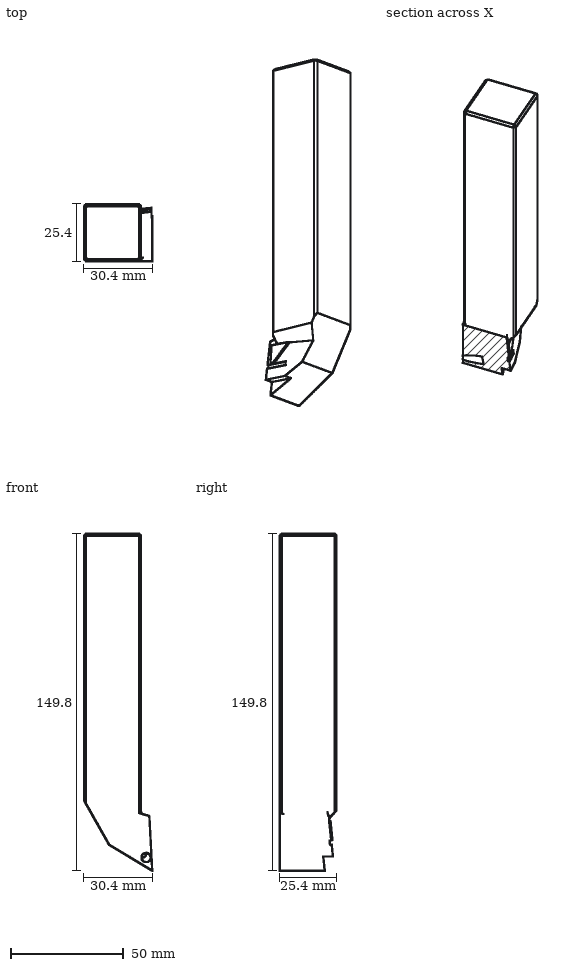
import cadquery as cq
import math

shank_size = 25.4
tool_length = 149.79
edge_chamfer = 1.0

tip_x = 30.38
flank_corner_x = 11.2
flank_corner_z = 11.5
flank_top_z = 31.3
flank_slope = (flank_top_z - flank_corner_z) / flank_corner_x
side_draft = math.radians(3)
shoulder_z = 25.4
shoulder_slope = math.radians(15)
shoulder_round = 1.0
shoulder_root_round = 1.0

face_base = 21.4
face_rise_x = 0.10
face_fall_z = 0.10

runout_top_z = 27.0
runout_angle = math.radians(48.5)

seat_depth = 4.3
seat_height = 6.3

groove_start_x = 20.0
groove_bottom_z = 11.6
groove_width = 1.8
groove_depth = 0.75

hole_diameter = 4.0
hole_x = 27.6
hole_z = 5.9
hole_tilt = math.radians(15)
hole_depth = 10.0

clamp_top_left_x = 18.6
clamp_right_x = 27.5
clamp_nose_width = 1.5
clamp_nose_z = 13.7
clamp_top_z = 22.2
clamp_thickness = 0.75

overcut = 20.0


def space_above_face(drop):
    """Space on the +Y side of the sunken face, with the face lowered by `drop` along Y."""
    normal = cq.Vector(-face_rise_x, 1, face_fall_z)
    origin = cq.Vector(0, face_base - drop, 0)
    plane = cq.Plane(origin, xDir=(1, face_rise_x, 0), normal=normal)
    return cq.Workplane(plane).rect(2 * tool_length, 2 * tool_length).extrude(overcut)


def slab_in_z(bottom, top, start_x=-overcut):
    """Block between two heights, from start_x to past the side of the head."""
    size_x = tip_x + overcut - start_x
    size_y = shank_size + overcut
    slab = cq.Workplane("XY").box(size_x, size_y, top - bottom, centered=False)
    return slab.translate((start_x, 0, bottom))


def make_shank():
    bar = cq.Workplane("XY").box(shank_size, shank_size, tool_length, centered=False)
    bar = bar.edges("|Z").chamfer(edge_chamfer).faces(">Z").chamfer(edge_chamfer)
    end_profile = [
        (-overcut, -overcut),
        (-overcut, flank_top_z + overcut * flank_slope),
        (0, flank_top_z),
        (flank_corner_x, flank_corner_z),
        (tip_x, 0),
        (tip_x, -overcut),
    ]
    cutter = cq.Workplane("XZ").polyline(end_profile).close().extrude(-shank_size)
    return bar.cut(cutter)


def make_head():
    inner_x = shank_size - edge_chamfer
    draft = math.tan(side_draft)
    slope = math.tan(shoulder_slope)
    shoulder_end_z = (shoulder_z - slope * (tip_x - shank_size)) / (1 - slope * draft)
    shoulder_end_x = tip_x - draft * shoulder_end_z
    outline = [
        (edge_chamfer, flank_top_z - flank_slope * edge_chamfer),
        (flank_corner_x, flank_corner_z),
        (tip_x, 0),
        (shoulder_end_x, shoulder_end_z),
        (inner_x, shoulder_z + slope * edge_chamfer),
    ]
    head = cq.Workplane("XZ").polyline(outline).close().extrude(-shank_size)
    corner = cq.selectors.NearestToPointSelector((shoulder_end_x, shank_size / 2, shoulder_end_z))
    return head.edges("|Y").edges(corner).fillet(shoulder_round)


def make_sunken_cut():
    profile = [
        (shank_size, runout_top_z),
        (0, runout_top_z - shank_size * math.tan(runout_angle)),
        (0, -overcut),
        (shank_size + overcut, -overcut),
        (shank_size + overcut, runout_top_z + overcut * math.tan(runout_angle)),
    ]
    wedge = cq.Workplane("YZ").polyline(profile).close().extrude(tip_x + 2 * overcut)
    wedge = wedge.translate((-overcut, 0, 0))
    beside_shank = slab_in_z(-overcut, 2 * shoulder_z, shank_size)
    return wedge.union(beside_shank).intersect(space_above_face(0))


def make_hole_cut():
    lean = math.sin(hole_tilt) / math.sqrt(2)
    axis = cq.Vector(-lean, math.cos(hole_tilt), lean)
    lead_in = hole_diameter / 2
    start = cq.Vector(hole_x, 0, hole_z) - axis * lead_in
    hole = cq.Solid.makeCylinder(hole_diameter / 2, hole_depth + lead_in, start, axis)
    return cq.Workplane(obj=hole)


def make_holder():
    holder = make_shank().union(make_head())
    root = cq.selectors.NearestToPointSelector((shank_size, shank_size / 2, shoulder_z))
    holder = holder.edges("|Y").edges(root).fillet(shoulder_root_round)
    holder = holder.cut(make_sunken_cut())
    seat = space_above_face(seat_depth).intersect(slab_in_z(-overcut, seat_height))
    groove_slab = slab_in_z(groove_bottom_z, groove_bottom_z + groove_width, groove_start_x)
    groove = space_above_face(groove_depth).intersect(groove_slab)
    return holder.cut(seat).cut(groove).cut(make_hole_cut())


def make_clamp():
    outline = [
        (clamp_top_left_x, clamp_top_z),
        (clamp_right_x - clamp_nose_width, clamp_nose_z),
        (clamp_right_x, clamp_nose_z),
        (clamp_right_x, clamp_top_z),
    ]
    column = cq.Workplane("XZ").polyline(outline).close().extrude(-(shank_size + overcut))
    return column.intersect(make_sunken_cut()).cut(space_above_face(-clamp_thickness))


holder = make_holder()
clamp = make_clamp()
result = cq.Compound.makeCompound([holder.val(), clamp.val()])